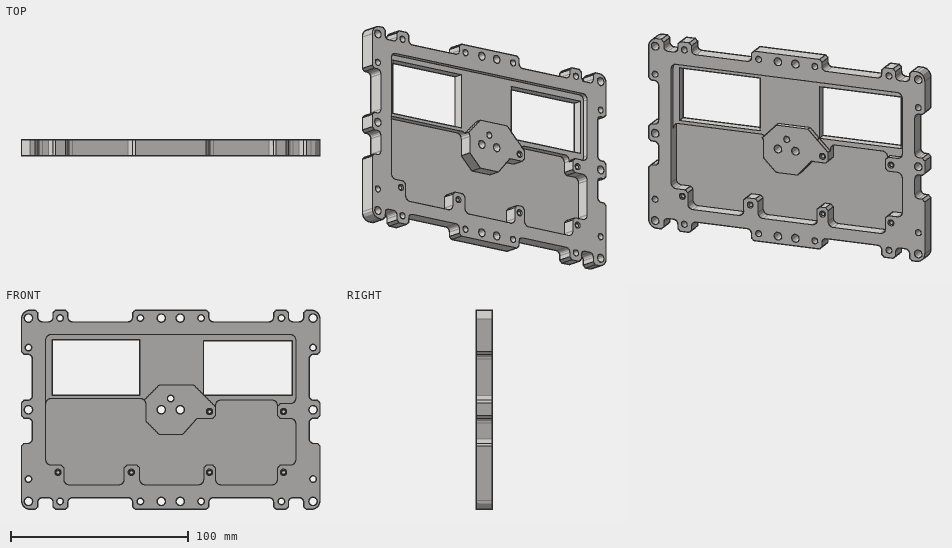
import cadquery as cq
import math

LENGTH = 168.15
THICKNESS = 9.14
HEIGHT = 112.27
CORNER_RADIUS = 5.08
HALF_LENGTH = LENGTH / 2
HALF_HEIGHT = HEIGHT / 2
FRONT = -THICKNESS / 2

CHAMFER = 1.52
NOTCH_RADIUS = 2.54
SQUARE_TOLERANCE = 1e-6
POCKET_RADIUS = 3.175

NOTCH_DEPTH = 6.6
SIDE_NOTCH_DEPTH = 6.1
CORNER_NOTCH = (66.3, 74.8)
LONG_NOTCH = (21.5, 57.85)
SIDE_NOTCHES = ((-18.9, -4.8), (5.4, 31.2))

POCKET_X = 70.4
POCKET_TOP = 42.4
POCKET_BOTTOM = -42.3
SHELF_DEPTH = 3.3
DEEP_DEPTH = 7.75
LEFT_DEEP_TOP = 6.4
RIGHT_DEEP_TOP = 5.5

POST_TOP = -31.2
LEFT_POST_EDGE = -60.2
SECOND_POST = (-26.2, -17.5)
THIRD_POST = (18.6, 25.2)
RIGHT_POST_EDGE = 60.1
SIDE_POST = (-4.8, 3.4)

BOSS_LEFT = -14.0
BOSS_HALF_HEIGHT = 14.0
BOSS_FLAT = (-6.4, 12.9)
BOSS_BOTTOM_FLAT = (-6.4, 6.6)
BOSS_EAR_START = 14.9

WINDOW_BOTTOM = 8.3
LEFT_WINDOW = (-66.7, -17.5, WINDOW_BOTTOM, 39.4)
RIGHT_WINDOW = (18.5, 68.3, WINDOW_BOTTOM, 38.8)

LARGE_HOLE = 4.57
SMALL_HOLE = 3.56
EDGE_HOLE_X = 80.1
EDGE_HOLE_Z = 51.6
PAIR_HOLE_X = 5.33
TAB_HOLE_X = 17.1
END_TAB_HOLE_X = 62.3
UPPER_SIDE_HOLE_Z = 35.0
LOWER_SIDE_HOLE_Z = -39.0
BOSS_PIN_Z = 6.35

TAP_DRILL = 2.27
TAP_MOUTH = 3.56
MOUTH_ANGLE = 90
DRILL_POINT_ANGLE = 118
TAP_DEPTH = 6.35
TAP_X = (-63.5, -22.2, 21.8, 63.5)
TAP_LOW_Z = -35.2
TAP_HIGH_Z = -1.0


def toward(start, end, distance):
    """Point at a distance from start on the line to end."""
    ratio = distance / math.dist(start, end)
    return (
        start[0] + (end[0] - start[0]) * ratio,
        start[1] + (end[1] - start[1]) * ratio,
    )


def prism(profile, depth):
    """Extrude an XZ profile from the front face into the plate."""
    return profile.extrude(-depth)


def front_plane():
    return cq.Workplane("XZ", origin=(0, FRONT, 0))


def pocket_profile(points):
    """Closed pocket outline from counter-clockwise corners, the first of them square.

    Square corners that turn left are rounded, those that turn right are chamfered,
    and oblique corners stay sharp.
    """
    path = None
    for i, corner in enumerate(points):
        before = points[i - 1]
        after = points[(i + 1) % len(points)]
        incoming = (corner[0] - before[0], corner[1] - before[1])
        outgoing = (after[0] - corner[0], after[1] - corner[1])
        turn = incoming[0] * outgoing[1] - incoming[1] * outgoing[0]
        aligned = incoming[0] * outgoing[0] + incoming[1] * outgoing[1]
        is_square = abs(aligned) < SQUARE_TOLERANCE
        if not is_square:
            path = path.lineTo(*corner)
            continue
        size = POCKET_RADIUS if turn > 0 else CHAMFER
        first = toward(corner, before, size)
        last = toward(corner, after, size)
        path = front_plane().moveTo(*first) if path is None else path.lineTo(*first)
        if turn > 0:
            center = (first[0] + last[0] - corner[0], first[1] + last[1] - corner[1])
            path = path.threePointArc(toward(center, corner, size), last)
        else:
            path = path.lineTo(*last)
    return path.close()


def notch(start, end, depth):
    """Cutter for a notch sunk from z = 0 towards -Z, widened by chamfers at its mouth."""
    arm = NOTCH_RADIUS
    cutter = (
        front_plane()
        .moveTo(start - CHAMFER, 0)
        .lineTo(start, -CHAMFER)
        .lineTo(start, arm - depth)
        .radiusArc((start + arm, -depth), -arm)
        .lineTo(end - arm, -depth)
        .radiusArc((end, arm - depth), -arm)
        .lineTo(end, -CHAMFER)
        .lineTo(end + CHAMFER, 0)
        .close()
    )
    return prism(cutter, THICKNESS)


def cut_notches(body):
    for start, end in (CORNER_NOTCH, LONG_NOTCH):
        top_right = notch(start, end, NOTCH_DEPTH).translate((0, 0, HALF_HEIGHT))
        top_pair = top_right.union(top_right.mirror("YZ"))
        body = body.cut(top_pair).cut(top_pair.mirror("XY"))
    for bottom, top in SIDE_NOTCHES:
        left = notch(bottom, top, SIDE_NOTCH_DEPTH).rotate((0, 0, 0), (0, 1, 0), -90)
        left = left.translate((-HALF_LENGTH, 0, 0))
        body = body.cut(left).cut(left.mirror("YZ"))
    return body


def cut_shelf(body):
    """Shallow upper pocket, leaving the central boss at full height."""
    bottom, post_top = SIDE_POST
    shelf = prism(pocket_profile([
        (-POCKET_X, bottom),
        (RIGHT_POST_EDGE, bottom),
        (RIGHT_POST_EDGE, post_top),
        (POCKET_X, post_top),
        (POCKET_X, POCKET_TOP),
        (-POCKET_X, POCKET_TOP),
    ]), SHELF_DEPTH)
    flat_left, flat_right = BOSS_FLAT
    slope_run = BOSS_HALF_HEIGHT - bottom
    boss = prism(front_plane().polyline([
        (flat_left, BOSS_HALF_HEIGHT),
        (flat_right, BOSS_HALF_HEIGHT),
        (flat_right + slope_run, bottom),
        (flat_left - slope_run, bottom),
    ]).close(), SHELF_DEPTH)
    return body.cut(shelf.cut(boss))


def cut_deep_pocket(body):
    ear_bottom = SIDE_POST[0]
    ear_right = THIRD_POST[1]
    slope_rise = BOSS_BOTTOM_FLAT[0] - BOSS_LEFT
    return body.cut(prism(pocket_profile([
        (-POCKET_X, LEFT_DEEP_TOP),
        (-POCKET_X, POST_TOP),
        (LEFT_POST_EDGE, POST_TOP),
        (LEFT_POST_EDGE, POCKET_BOTTOM),
        (SECOND_POST[0], POCKET_BOTTOM),
        (SECOND_POST[0], POST_TOP),
        (SECOND_POST[1], POST_TOP),
        (SECOND_POST[1], POCKET_BOTTOM),
        (THIRD_POST[0], POCKET_BOTTOM),
        (THIRD_POST[0], POST_TOP),
        (THIRD_POST[1], POST_TOP),
        (THIRD_POST[1], POCKET_BOTTOM),
        (RIGHT_POST_EDGE, POCKET_BOTTOM),
        (RIGHT_POST_EDGE, POST_TOP),
        (POCKET_X, POST_TOP),
        (POCKET_X, ear_bottom),
        (RIGHT_POST_EDGE, ear_bottom),
        (RIGHT_POST_EDGE, RIGHT_DEEP_TOP),
        (ear_right, RIGHT_DEEP_TOP),
        (ear_right, ear_bottom),
        (BOSS_EAR_START, ear_bottom),
        (BOSS_BOTTOM_FLAT[1], -BOSS_HALF_HEIGHT),
        (BOSS_BOTTOM_FLAT[0], -BOSS_HALF_HEIGHT),
        (BOSS_LEFT, slope_rise - BOSS_HALF_HEIGHT),
        (BOSS_LEFT, LEFT_DEEP_TOP),
    ]), DEEP_DEPTH))


def cut_windows(body):
    for left, right, bottom, top in (LEFT_WINDOW, RIGHT_WINDOW):
        center = ((left + right) / 2, (bottom + top) / 2)
        opening = front_plane().center(*center).rect(right - left, top - bottom)
        body = body.cut(prism(opening, THICKNESS))
    return body


def cut_through_holes(body):
    large = []
    small = [(0, BOSS_PIN_Z)]
    for side in (-1, 1):
        large += [(side * EDGE_HOLE_X, 0), (side * PAIR_HOLE_X, 0)]
        small += [
            (side * EDGE_HOLE_X, UPPER_SIDE_HOLE_Z),
            (side * EDGE_HOLE_X, LOWER_SIDE_HOLE_Z),
        ]
        for z in (-EDGE_HOLE_Z, EDGE_HOLE_Z):
            large += [(side * EDGE_HOLE_X, z), (side * PAIR_HOLE_X, z)]
            small += [(side * TAB_HOLE_X, z), (side * END_TAB_HOLE_X, z)]
    for diameter, points in ((LARGE_HOLE, large), (SMALL_HOLE, small)):
        holes = front_plane().pushPoints(points).circle(diameter / 2)
        body = body.cut(prism(holes, THICKNESS))
    return body


def tapped_hole_cutter():
    """Countersunk tap-drill hole with a conical drill point, sunk along +Y from y = 0."""
    drill_radius = TAP_DRILL / 2
    mouth_radius = TAP_MOUTH / 2
    mouth_depth = (mouth_radius - drill_radius) / math.tan(math.radians(MOUTH_ANGLE / 2))
    point_length = drill_radius / math.tan(math.radians(DRILL_POINT_ANGLE / 2))
    return (
        cq.Workplane("XY")
        .polyline([
            (0, 0),
            (mouth_radius, 0),
            (drill_radius, mouth_depth),
            (drill_radius, TAP_DEPTH),
            (0, TAP_DEPTH + point_length),
        ])
        .close()
        .revolve(360, (0, 0, 0), (0, 1, 0))
    )


def cut_tapped_holes(body):
    cutter = tapped_hole_cutter()
    points = [(x, TAP_LOW_Z) for x in TAP_X]
    points += [(x, TAP_HIGH_Z) for x in TAP_X[2:]]
    for x, z in points:
        body = body.cut(cutter.translate((x, FRONT, z)))
    return body


plate = cq.Workplane("XY").box(LENGTH, THICKNESS, HEIGHT).edges("|Y").fillet(CORNER_RADIUS)
plate = cut_notches(plate)
plate = cut_shelf(plate)
plate = cut_deep_pocket(plate)
plate = cut_windows(plate)
plate = cut_through_holes(plate)
result = cut_tapped_holes(plate)